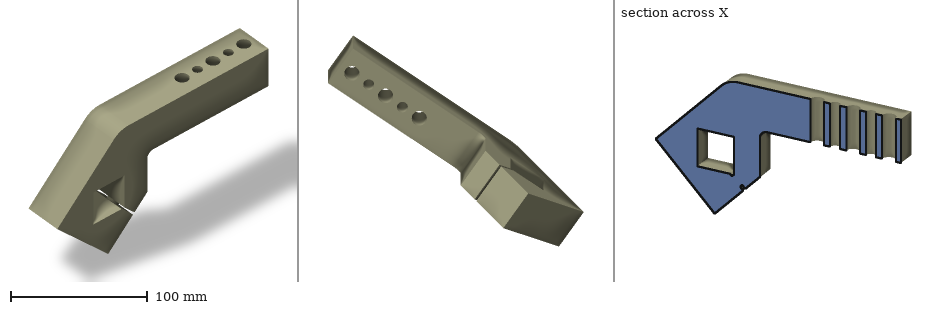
import cadquery as cq
import math

width = 32.0
length = 205.2
height = 110.2

arm_thickness = 35.0
head_inner_y = -117.8
tip_drop = 49.5
outer_bend_radius = 20.0
inner_bend_radius = 6.0

opening_size = 30.0
opening_left_y = -140.0
opening_top_z = -45.0

slit_width = 2.0
pin_diameter = 10.0
pin_from_corner = 5.1
pin_embed = 2.0

large_hole_diameter = 11.0
small_hole_diameter = 8.0
hole_count = 5
first_hole_offset = 10.0
hole_pitch = 15.0

outer_corner_z = tip_drop - height
bend_y = -length - outer_corner_z
lowest_y = -length + tip_drop
head_inner_z = -height + head_inner_y - lowest_y
opening_corner_y = opening_left_y
opening_corner_z = opening_top_z - opening_size
half_diagonal = math.sqrt(0.5)


def side_plane(x, y=0, z=0):
    """Plane whose local axes are Y and Z."""
    return cq.Workplane("YZ", origin=(x, y, z))


def make_body():
    outline = [
        (0, 0),
        (0, -arm_thickness),
        (head_inner_y, -arm_thickness),
        (head_inner_y, head_inner_z),
        (lowest_y, -height),
        (-length, outer_corner_z),
        (bend_y, 0),
    ]
    body = side_plane(-width / 2).polyline(outline).close().extrude(width)
    outer_edge = cq.selectors.NearestToPointSelector((0, bend_y, 0))
    body = body.edges(outer_edge).fillet(outer_bend_radius)
    inner_edge = cq.selectors.NearestToPointSelector((0, head_inner_y, -arm_thickness))
    return body.edges(inner_edge).fillet(inner_bend_radius)


def make_opening():
    center_y = opening_left_y - opening_size / 2
    center_z = opening_top_z - opening_size / 2
    return side_plane(0, center_y, center_z).rect(opening_size, opening_size).extrude(width / 2, both=True)


def make_slit():
    reach = opening_corner_z + height
    offset = slit_width / half_diagonal
    outline = [
        (0, 0),
        (reach, -reach),
        (reach - offset, -reach),
        (-offset, 0),
    ]
    slit = side_plane(-width / 2, opening_corner_y, opening_corner_z)
    return slit.polyline(outline).close().extrude(width)


def make_pin():
    axis = cq.Vector(0, -half_diagonal, -half_diagonal)
    along_slit = cq.Vector(0, half_diagonal, -half_diagonal)
    corner = cq.Vector(0, opening_corner_y, opening_corner_z)
    start = corner + along_slit * pin_from_corner - axis * pin_embed
    pin_length = slit_width + 2 * pin_embed
    return cq.Workplane(cq.Solid.makeCylinder(pin_diameter / 2, pin_length, start, axis))


def make_arm_holes():
    holes = cq.Workplane()
    for index in range(hole_count):
        diameter = small_hole_diameter if index % 2 else large_hole_diameter
        y = -first_hole_offset - index * hole_pitch
        holes = holes.add(cq.Workplane(origin=(0, y, 0)).circle(diameter / 2).extrude(-arm_thickness))
    return holes.combine()


body = make_body().cut(make_slit()).union(make_pin())
result = body.cut(make_opening()).cut(make_arm_holes())